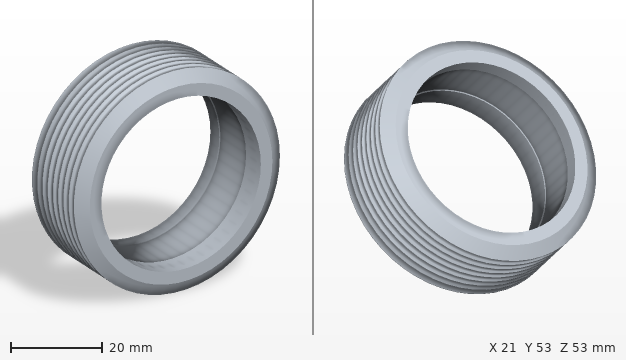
import cadquery as cq

length = 21.0
crest_diameter = 53.0
root_diameter = 50.85
end_diameter = 46.95
bore_diameter = 41.0

ridge_count = 9
bevel_length = 1.75
crest_width = 0.15
pitch = (length - 2 * bevel_length - crest_width) / (ridge_count - 1)

recess_depth = 0.3
recess_start = 3.7
recess_end = 14.85


def ring_profile():
    """Half section: X along the axis, Y as radius."""
    left = -length / 2
    right = length / 2
    bore_radius = bore_diameter / 2
    recess_radius = bore_radius + recess_depth

    points = [(left, bore_radius), (left, end_diameter / 2)]
    for ridge in range(ridge_count):
        crest_x = left + bevel_length + ridge * pitch
        points.append((crest_x, crest_diameter / 2))
        points.append((crest_x + crest_width, crest_diameter / 2))
        if ridge < ridge_count - 1:
            points.append((crest_x + (crest_width + pitch) / 2, root_diameter / 2))
    points += [
        (right, end_diameter / 2),
        (right, bore_radius),
        (left + recess_end, bore_radius),
        (left + recess_end, recess_radius),
        (left + recess_start, recess_radius),
        (left + recess_start, bore_radius),
    ]
    return cq.Workplane("XY").polyline(points).close()


result = ring_profile().revolve(360, (0, 0, 0), (1, 0, 0))